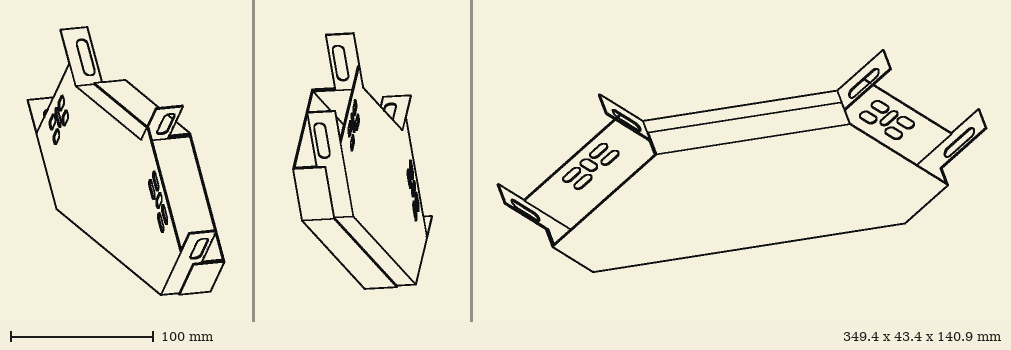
import cadquery as cq
import math


SHEET = 1.0
WIDTH = 101.5
DEPTH = 36.7
BEND_ANGLE = 45.0
MIDDLE_HALF = 112.5
ARM_LENGTH = 60.8

LIP_START = 13.5

TAB_LENGTH = 27.0
TAB_HEIGHT = 20.0
TAB_SLOT_LENGTH = 29.0
TAB_SLOT_WIDTH = 8.0
TAB_SLOT_FROM_TIP = 23.8
TAB_SLOT_HEIGHT = 13.0

PLATE_SLOT_LENGTH = 14.5
PLATE_SLOT_WIDTH = 7.0
PLATE_SLOT_PITCH = 27.0
FRONT_ROW = 11.5
BACK_ROW = 23.5
CROSS_SLOT = 15.5

TILT_X = -0.4
TILT_Y = -1.55
TILT_Z = 1.25

ARM_COS = math.cos(math.radians(BEND_ANGLE))
ARM_SIN = math.sin(math.radians(BEND_ANGLE))
MITRE = math.tan(math.radians(BEND_ANGLE / 2))

COVER_SETBACK = ARM_LENGTH - (WIDTH + SHEET) * MITRE


def arm_point(inset, setback):
    """Point on the right arm, inset from the long wall and set back from the plate's end."""
    along = ARM_LENGTH - setback
    x = MIDDLE_HALF + along * ARM_COS - inset * ARM_SIN
    z = along * ARM_SIN + inset * ARM_COS
    return (x, z)


def corner_point(inset):
    """Right-hand bend corner of the line that runs at this inset from the long wall."""
    return (MIDDLE_HALF - inset * MITRE, inset)


def mirrored(point):
    return (-point[0], point[1])


def symmetric_sheet(right, start, end):
    """Sheet whose outline is the given right half and its mirror image, between two depths."""
    left = [mirrored(point) for point in reversed(right)]
    outline = cq.Workplane("XZ", origin=(0, start, 0)).polyline(right + left).close()
    return outline.extrude(start - end)


def bent_strip(inner, outer, setback, start, end):
    """Strip along the whole bend, both arms included, between two insets and two depths."""
    right = [
        corner_point(inner),
        arm_point(inner, setback),
        arm_point(outer, setback),
        corner_point(outer),
    ]
    return symmetric_sheet(right, start, end)


def middle_strip(inner, outer, start, end):
    """Strip along the middle section only, between two insets and two depths."""
    return symmetric_sheet([corner_point(inner), corner_point(outer)], start, end)


def slot_through_plate(x, z, angle):
    """Cutter for one base plate slot; the angle is that of its long axis from +X."""
    plane = cq.Workplane("XZ", origin=(0, -SHEET, 0)).center(x, z)
    return plane.slot2D(PLATE_SLOT_LENGTH, PLATE_SLOT_WIDTH, angle).extrude(-3 * SHEET)


def plate_slots(side):
    """Cutters for the slots at one end: two rows of two slots, and a cross slot."""
    cutters = cq.Workplane("XZ")
    for setback in (FRONT_ROW, BACK_ROW):
        for offset in (-PLATE_SLOT_PITCH / 2, PLATE_SLOT_PITCH / 2):
            x, z = arm_point(WIDTH / 2 + offset, setback)
            cutters = cutters.add(slot_through_plate(side * x, z, -side * BEND_ANGLE))
    x, z = arm_point(WIDTH / 2, CROSS_SLOT)
    return cutters.add(slot_through_plate(side * x, z, side * BEND_ANGLE))


def tab_slot(side, inset):
    """Cutter for the slot through one tab whose middle plane is at this inset."""
    x, z = arm_point(inset, TAB_SLOT_FROM_TIP - TAB_LENGTH)
    plane = cq.Plane(
        origin=(side * x, TAB_SLOT_HEIGHT, z),
        xDir=(side * ARM_COS, 0, ARM_SIN),
        normal=(-side * ARM_SIN, 0, ARM_COS),
    )
    return cq.Workplane(plane).slot2D(TAB_SLOT_LENGTH, TAB_SLOT_WIDTH).extrude(2 * SHEET, both=True)


def make_base():
    cover_plate_inside = DEPTH - SHEET
    plate = bent_strip(0, WIDTH, 0, 0, SHEET)
    long_wall = bent_strip(0, SHEET, COVER_SETBACK, 0, cover_plate_inside)
    short_wall = middle_strip(WIDTH - SHEET, WIDTH, 0, cover_plate_inside)
    base = plate.union(long_wall).union(short_wall)
    for inset in (0, WIDTH - SHEET):
        wall_with_tabs = bent_strip(inset, inset + SHEET, -TAB_LENGTH, 0, TAB_HEIGHT)
        base = base.union(wall_with_tabs)
    for side in (-1, 1):
        for cutter in plate_slots(side).vals():
            base = base.cut(cq.Workplane(cutter))
        for inset in (SHEET / 2, WIDTH - SHEET / 2):
            base = base.cut(tab_slot(side, inset))
    return base


def make_cover():
    plate_outline = [
        corner_point(-SHEET),
        arm_point(-SHEET, COVER_SETBACK),
        corner_point(WIDTH + SHEET),
    ]
    plate = symmetric_sheet(plate_outline, DEPTH - SHEET, DEPTH)
    long_lip = bent_strip(-SHEET, 0, COVER_SETBACK, LIP_START, DEPTH)
    short_lip = middle_strip(WIDTH, WIDTH + SHEET, LIP_START, DEPTH)
    return plate.union(long_lip).union(short_lip)


def tilted(body):
    origin = (0, 0, 0)
    body = body.rotate(origin, (1, 0, 0), TILT_X)
    body = body.rotate(origin, (0, 1, 0), TILT_Y)
    return body.rotate(origin, (0, 0, 1), TILT_Z)


base = tilted(make_base())
cover = tilted(make_cover())
result = cq.Compound.makeCompound([base.solids().val(), cover.solids().val()])